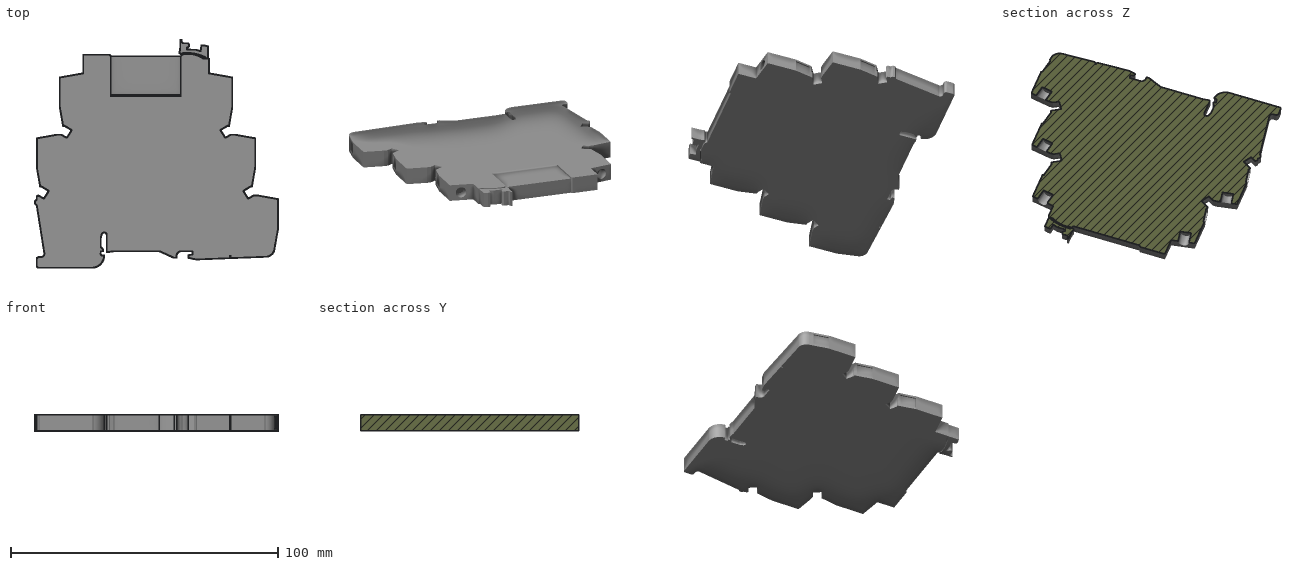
import cadquery as cq
import math

thickness = 6.2

tier_pitch = 22.8
tier_step = 8.6
tier_half_width = 32.3
tier_corner_y = 71.3
tier_face_height = 11.1
tier_slope_height = 6.65
slope = math.tan(math.radians(10))

notch_inner = (4.5, 19.8)
notch_bottom = (2.6, 22.6)
notch_crest = (0.6, 21.4)
ledge_start = (-0.9, 21.4)

window_length = 6.1
window_margin = 0.8
window_depth = 0.5
hole_diameter = 4.0
hole_depth = 4.55
hole_offset = 4.2
lip_length = 0.5
lip_width = 1.0
lip_height = thickness / 2

head_half_width = 23.6
head_top_y = 79.9
head_right_y = 78.3
head_bevel = 0.4
dome_start = (21.6, head_right_y)
dome_middle = (18.2, 79.9)
dome_end = (13.4, head_top_y)
label_left_x = -13.2
label_right_x = 13.0
label_top_y = 79.2
label_bottom_y = 64.3
label_draft = 0.5
label_depth = 0.55

clip_margin = 0.3
clip_post_x = 12.75
clip_post_width = 0.6
clip_top_y = 85.4
clip_shoulder = [(clip_post_x + clip_post_width, 84.6), (13.8, 84.2), (15.6, 84.2)]
clip_bead_middle = (16.1, 83.2)
clip_bead_end = (15.4, 82.4)
clip_saddle = [(15.4, 81.8), (18.8, 81.7), (20.4, 81.15)]
clip_leg = [(20.7, 83.3), (21.7, 83.3), (23.2, 83.0), (23.2, 78.15), (22.9, 78.15), (22.0, 78.9)]
clip_arch_middle = (18.2, 80.15)
clip_arch_end = (13.9, 80.5)
clip_heel = [(13.2, 79.9), (12.4, 80.5)]
clip_post_middle = (12.7, 81.6)
clip_post_bend_y = 83.0

latch_nose = [(-41.0, 26.8), (-41.0, 25.6), (-41.6, 25.0), (-41.6, 24.0), (-41.0, 23.5), (-40.8, 22.5)]

foot_left_x = -41.0
foot_waist = (-38.2, 5.7)
foot_waist_middle = (-38.4, 4.5)
foot_waist_end_x = -39.3
foot_top_y = 4.1
foot_corner = 0.9
foot_toe_start_x = -20.0
foot_toe_end = (-15.7, 4.2)
foot_toe_radius = 4.7

hook_tip = [(-15.7, 4.6), (-16.5, 4.6)]
hook_throat_middle = (-16.85, 4.9)
hook_throat_end = (-16.9, 5.5)
rail_y = 6.2
slot_left = [(-16.9, rail_y), (-16.0, rail_y), (-16.0, 6.8), (-16.9, 7.9), (-16.9, 11.2), (-16.6, 12.5)]
slot_crown = (-15.6, 13.2)
slot_right_x = -14.8
slot_shoulder_y = 12.2

rail_lip_y = 5.9
rail_seat = [(slot_right_x, rail_lip_y), (-13.8, rail_lip_y), (-12.0, rail_y), (5.0, rail_y)]
rail_hump = [(10.5, 3.7), (11.5, 3.7), (11.5, 4.6)]
rail_groove_middle = (12.0, 5.7)
rail_groove_end = (13.3, rail_y)
right_hook = [(17.3, rail_y), (17.3, 5.0), (16.4, 4.9), (15.85, 4.6), (15.85, 3.7), (18.3, 3.2), (18.85, 3.1)]

heel_start = (44.4, 4.1)
heel_middle = (46.8, 4.8)
heel_end_y = 6.8
slit_x = 31.5
slit_width = 0.3
slit_top_y = 4.5


def tier_corner(index):
    """Upper outer corner of a tier on the +X side."""
    return tier_half_width + index * tier_step, tier_corner_y - index * tier_pitch


def tier_tip(index):
    """Lower end of a tier's sloping face on the +X side."""
    x, y = tier_corner(index)
    return x - slope * tier_slope_height, y - tier_face_height - tier_slope_height


def tier_points(index):
    """A tier's outer edge and the notch below it, read downwards on the +X side."""
    x, y = tier_corner(index)
    notch = [(x - inset, y - drop) for inset, drop in (notch_inner, notch_bottom, notch_crest)]
    return [(x, y), (x, y - tier_face_height), tier_tip(index)] + notch


def ledge_point(index):
    """Inner end of the sloping ledge that leads to the tier below."""
    x, y = tier_corner(index)
    return x - ledge_start[0], y - ledge_start[1]


def flank_points():
    """Two tiers and their notches, read downwards from the head on the +X side."""
    shoulder_y = tier_corner_y + slope * (tier_half_width - head_half_width)
    points = [(head_half_width, shoulder_y)]
    points += tier_points(0) + [ledge_point(0)]
    points += tier_points(1)
    return points


def make_housing():
    """Full-thickness body, outlined anticlockwise from the left end of the head."""
    flank = flank_points()
    left_flank = [(-x, y) for x, y in flank]
    corner_x, corner_y = tier_corner(2)
    slope_start_y = corner_y - tier_face_height
    heel_end = (corner_x - slope * (slope_start_y - heel_end_y), heel_end_y)

    outline = (
        cq.Workplane("XY")
        .moveTo(-head_half_width, head_top_y)
        .polyline(left_flank + latch_nose, includeCurrent=True)
        .lineTo(*foot_waist)
        .threePointArc(foot_waist_middle, (foot_waist_end_x, foot_top_y))
        .lineTo(foot_left_x + foot_corner, foot_top_y)
        .radiusArc((foot_left_x, foot_top_y - foot_corner), -foot_corner)
        .lineTo(foot_left_x, foot_corner)
        .radiusArc((foot_left_x + foot_corner, 0), -foot_corner)
        .lineTo(foot_toe_start_x, 0)
        .radiusArc(foot_toe_end, -foot_toe_radius)
        .polyline(hook_tip, includeCurrent=True)
        .threePointArc(hook_throat_middle, hook_throat_end)
        .polyline(slot_left, includeCurrent=True)
        .threePointArc(slot_crown, (slot_right_x, slot_shoulder_y))
        .polyline(rail_seat + rail_hump, includeCurrent=True)
        .threePointArc(rail_groove_middle, rail_groove_end)
        .polyline(right_hook, includeCurrent=True)
        .lineTo(*heel_start)
        .threePointArc(heel_middle, heel_end)
        .lineTo(corner_x, slope_start_y)
        .lineTo(corner_x, corner_y)
        .lineTo(*ledge_point(1))
        .polyline(flank[::-1], includeCurrent=True)
        .lineTo(head_half_width, head_right_y)
        .lineTo(*dome_start)
        .threePointArc(dome_middle, dome_end)
        .lineTo(label_right_x, label_top_y)
        .lineTo(label_left_x, label_top_y)
        .lineTo(label_left_x - head_bevel, head_top_y)
        .close()
    )
    return outline.extrude(thickness)


def make_label_pocket():
    """Shallow pocket in the top face, open towards +Y, with a drafted lower wall."""
    floor_z = thickness - label_depth
    return (
        cq.Workplane("YZ", origin=(label_left_x, 0, 0))
        .moveTo(label_bottom_y, thickness)
        .lineTo(label_bottom_y + label_draft, floor_z)
        .lineTo(head_top_y, floor_z)
        .lineTo(head_top_y, thickness)
        .close()
        .extrude(label_right_x - label_left_x)
    )


def make_clip():
    """Marker clip arching over the head, joined to it at its right leg."""
    return (
        cq.Workplane("XY", origin=(0, 0, clip_margin))
        .moveTo(clip_post_x, clip_top_y)
        .lineTo(clip_post_x + clip_post_width, clip_top_y)
        .polyline(clip_shoulder, includeCurrent=True)
        .threePointArc(clip_bead_middle, clip_bead_end)
        .polyline(clip_saddle + clip_leg, includeCurrent=True)
        .threePointArc(clip_arch_middle, clip_arch_end)
        .polyline(clip_heel, includeCurrent=True)
        .threePointArc(clip_post_middle, (clip_post_x, clip_post_bend_y))
        .close()
        .extrude(thickness - 2 * clip_margin)
    )


def make_window(index):
    """Cutter for the recess in a tier's sloping face on the +X side."""
    x, y = tier_corner(index)
    along_slope = (-slope, -1, 0)
    face = cq.Plane(
        origin=(x, y - tier_face_height, window_margin), xDir=along_slope, normal=(0, 0, 1)
    )
    return (
        cq.Workplane(face)
        .center(window_length / 2, 0)
        .rect(window_length, 2 * window_depth)
        .extrude(thickness - 2 * window_margin)
    )


def make_driver_hole(index):
    """Cutter for the round hole square to a tier's sloping top on the +X side."""
    x, y = tier_corner(index)
    top = cq.Plane(
        origin=(x - hole_offset, y + slope * hole_offset, thickness / 2),
        xDir=(0, 0, 1),
        normal=(slope, 1, 0),
    )
    return cq.Workplane(top).circle(hole_diameter / 2).extrude(-hole_depth)


def make_lip(index):
    """Half-height lip that extends a tier's sloping face past its tip on the +X side."""
    x, y = tier_tip(index)
    lip_y = y - lip_length
    points = [(x, y), (x - slope * lip_length, lip_y), (x - lip_width, lip_y), (x - lip_width, y)]
    return cq.Workplane("XY").polyline(points).close().extrude(lip_height)


def mirrored(shape):
    """The same shape on the -X side."""
    return shape.mirror("YZ")


result = make_housing().union(make_clip()).cut(make_label_pocket())

for tier in (0, 1):
    lip = make_lip(tier)
    result = result.union(lip).union(mirrored(lip))
    for cutter in (make_window(tier), make_driver_hole(tier)):
        result = result.cut(cutter).cut(mirrored(cutter))

result = result.cut(make_window(2)).cut(make_driver_hole(2))

slit = cq.Workplane("XY").center(slit_x, slit_top_y / 2).rect(slit_width, slit_top_y)
result = result.cut(slit.extrude(thickness))